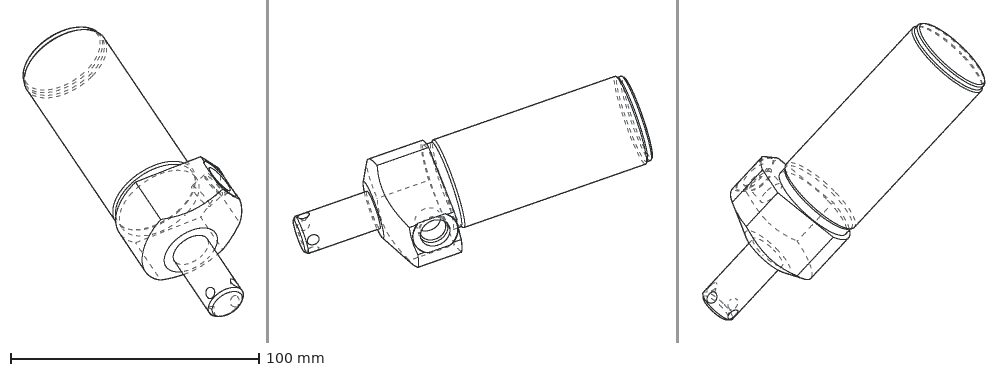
import cadquery as cq
import math

overall_length = 145.6
cap_end = 2.3
head_start = 85.8
head_end = 113.6
neck_length = 3.5

barrel_radius = 18.8
neck_radius = 18.0
barrel_step = barrel_radius - neck_radius
end_chamfer = 0.7
groove_taper = 1.0
rod_radius = 8.0
rod_chamfer = 1.2

dimple_count = 4
first_dimple_angle = 45
dimple_diameter = 5.0
dimple_setback = 4.1
dimple_tip_angle = 90

head_height = 37.9
back_reach = 19.8
back_flat_y = -10.8
front_reach = 27.8
port_edge_y = 18.8
port_face_tilt = 35.0
port_face_width = 14.1

nose_radius = 12.1
nose_angle = 30.0

port_x = 95.4
spot_diameter = 19.0
spot_depth = 0.5
port_diameter = 12.4
port_bore_depth = 3.2
port_drill_diameter = 10.9
port_depth = 10.9


def turned_body():
    """Barrel with stepped end cap, neck groove and rod, turned about X."""
    neck_start = head_start - neck_length
    profile = (
        cq.Workplane("XY")
        .lineTo(0, neck_radius - end_chamfer)
        .lineTo(end_chamfer, neck_radius)
        .lineTo(cap_end, neck_radius)
        .lineTo(cap_end + barrel_step, barrel_radius)
        .lineTo(neck_start - groove_taper, barrel_radius)
        .lineTo(neck_start, neck_radius)
        .lineTo(head_start, neck_radius)
        .lineTo(head_start, rod_radius)
        .lineTo(overall_length - rod_chamfer, rod_radius)
        .lineTo(overall_length, rod_radius - rod_chamfer)
        .lineTo(overall_length, 0)
        .close()
    )
    return profile.revolve(360, (0, 0, 0), (1, 0, 0))


def head():
    """Flat-sided head with two slanted faces and rounded ends, coned towards the rod."""
    half_height = head_height / 2
    tilt = math.radians(port_face_tilt)
    front_y = port_edge_y + port_face_width * math.sin(tilt)
    front_z = half_height - port_face_width * math.cos(tilt)
    block = (
        cq.Workplane("YZ", origin=(head_start, 0, 0))
        .moveTo(back_flat_y, half_height)
        .lineTo(port_edge_y, half_height)
        .lineTo(front_y, front_z)
        .threePointArc((front_reach, 0), (front_y, -front_z))
        .lineTo(port_edge_y, -half_height)
        .lineTo(back_flat_y, -half_height)
        .threePointArc((-back_reach, 0), (back_flat_y, half_height))
        .close()
        .extrude(head_end - head_start)
    )
    head_length = head_end - head_start
    base_radius = nose_radius + head_length / math.tan(math.radians(nose_angle))
    cone = cq.Workplane(
        cq.Solid.makeCone(
            base_radius, nose_radius, head_length, cq.Vector(head_start, 0, 0), cq.Vector(1, 0, 0)
        )
    )
    return block.intersect(cone)


def port():
    """Spot face, bore, conical step and drilled hole, sunk square to the slanted face."""
    tilt = math.radians(port_face_tilt)
    outward = cq.Vector(0, math.cos(tilt), math.sin(tilt))
    face_centre = cq.Vector(
        port_x,
        port_edge_y + port_face_width / 2 * math.sin(tilt),
        head_height / 2 - port_face_width / 2 * math.cos(tilt),
    )
    plane = cq.Plane(origin=face_centre, xDir=(1, 0, 0), normal=-outward)
    bore_radius = port_diameter / 2
    drill_radius = port_drill_diameter / 2
    step = bore_radius - drill_radius
    spot = cq.Workplane(plane).circle(spot_diameter / 2).extrude(spot_depth)
    bore = cq.Workplane(plane).circle(bore_radius).extrude(port_bore_depth)
    cone = cq.Workplane(
        cq.Solid.makeCone(
            bore_radius, drill_radius, step, face_centre - outward * port_bore_depth, -outward
        )
    )
    drill = cq.Workplane(plane).circle(drill_radius).extrude(port_depth)
    return spot.union(bore).union(cone).union(drill)


def rod_dimple(angle):
    """Conical dimple sunk into the rod, turned about X by the given angle."""
    half_tip = math.radians(dimple_tip_angle / 2)
    apex_height = rod_radius - dimple_diameter / 2 / math.tan(half_tip)
    cone_height = dimple_diameter
    dimple = cq.Workplane(
        cq.Solid.makeCone(
            0,
            cone_height * math.tan(half_tip),
            cone_height,
            cq.Vector(overall_length - dimple_setback, 0, apex_height),
            cq.Vector(0, 0, 1),
        )
    )
    return dimple.rotate((0, 0, 0), (1, 0, 0), angle)


result = turned_body().union(head()).cut(port())
for dimple_index in range(dimple_count):
    result = result.cut(rod_dimple(first_dimple_angle + dimple_index * 360 / dimple_count))